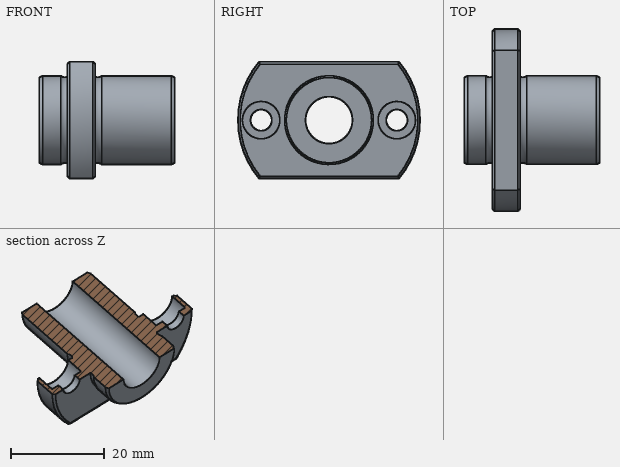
import cadquery as cq
import math

sleeve_length = 29.0
sleeve_diameter = 19.0
bore_diameter = 10.0
end_round_length = 0.75
end_round_height = 0.4
end_round_radius = 3.0

flange_start = 6.0
flange_thickness = 6.0
flange_diameter = 39.0
flange_height = 25.0
flange_chamfer = 0.5

relief_width = 1.4
relief_arc_radius = 1.5
relief_arc_offset = 0.9

bolt_spacing = 29.0
bolt_hole_diameter = 4.5
counterbore_diameter = 8.0
counterbore_depth = 4.3

flange_end = flange_start + flange_thickness


def cylinder(diameter, start, length, y=0):
    """Cylinder parallel to X, beginning at x = start."""
    return cq.Workplane("YZ", origin=(start, y, 0)).circle(diameter / 2).extrude(length)


def make_sleeve():
    """Plain turned sleeve whose end edges are broken by slightly crowned chamfers."""
    radius = sleeve_diameter / 2
    end_radius = radius - end_round_height
    return (
        cq.Workplane("XY")
        .lineTo(0, end_radius)
        .radiusArc((end_round_length, radius), end_round_radius)
        .lineTo(sleeve_length - end_round_length, radius)
        .radiusArc((sleeve_length, end_radius), end_round_radius)
        .lineTo(sleeve_length, 0)
        .close()
        .revolve(360, (0, 0, 0), (1, 0, 0))
    )


def make_relief(flange_face, direction):
    """Ring of arc section cut into the sleeve; direction points away from the flange along X.

    The ring also reaches into the flange zone, which the flange fills when added.
    """
    arc_center = flange_face + direction * (relief_width - relief_arc_offset)
    center_radius = sleeve_diameter / 2 + math.sqrt(relief_arc_radius**2 - relief_arc_offset**2)
    return (
        cq.Workplane("XY")
        .center(arc_center, center_radius)
        .circle(relief_arc_radius)
        .revolve(360, (0, -center_radius, 0), (1, -center_radius, 0))
    )


def make_flange():
    """Round flange cut flat at top and bottom, chamfered around both faces."""
    disc = cylinder(flange_diameter, flange_start, flange_thickness)
    slab = cq.Workplane("XY").box(flange_thickness, flange_diameter, flange_height)
    plate = disc.intersect(slab.translate((flange_start + flange_thickness / 2, 0, 0)))
    return plate.faces("<X or >X").edges().chamfer(flange_chamfer)


def make_bolt_hole(y):
    """Through hole with a counterbore sunk from the back face of the flange."""
    hole = cylinder(bolt_hole_diameter, flange_start, flange_thickness, y)
    counterbore = cylinder(counterbore_diameter, flange_end - counterbore_depth, counterbore_depth, y)
    return hole.union(counterbore)


result = make_sleeve()
result = result.cut(make_relief(flange_start, -1)).cut(make_relief(flange_end, 1))
result = result.union(make_flange())
result = result.cut(cylinder(bore_diameter, 0, sleeve_length))
for side in (-1, 1):
    result = result.cut(make_bolt_hole(side * bolt_spacing / 2))